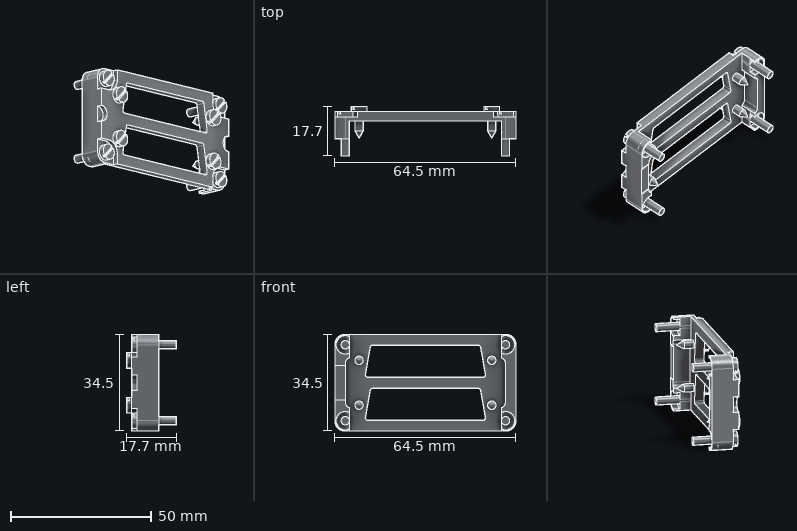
import cadquery as cq
import math

LENGTH = 64.5
HEIGHT = 34.5
CORNER_RADIUS = 3.75
FRAME_DEPTH = 9.75
PLATE_THICKNESS = 3.5

LEG_INNER_X = 27.1
RELIEF_X = 28.45
RELIEF_HALF_HEIGHT = 7.0
LEG_SHOULDER_Z = 8.85

WINDOW_BOTTOM_WIDTH = 42.95
WINDOW_HEIGHT = 11.3
WINDOW_SIDE_ANGLE = 10.0
WINDOW_CORNER_RADIUS = 0.8
WINDOW_SPACING = 15.35

CORNER_X = LENGTH / 2 - CORNER_RADIUS
CORNER_Z = HEIGHT / 2 - CORNER_RADIUS
SHANK_RADIUS = 1.5
CORNER_HEAD_RADIUS = 2.8
CORNER_SCREW_TIP = 15.9
CORNER_SLOT_DEPTH = 0.85
HEAD_POCKET_RADIUS = 4.3
POCKET_DEPTH = 2.0
FRONT_BORE_RADIUS = 3.3
FRONT_BORE_DEPTH = 2.3

PLATE_SCREW_X = 23.6
PLATE_SCREW_Z = 8.0
PLATE_HEAD_RADIUS = 2.85
PLATE_HEAD_HEIGHT = 1.8
PLATE_SHANK_END = 6.95
PLATE_SCREW_TIP = 9.55
PLATE_SLOT_DEPTH = 1.1

SLOT_WIDTH = 0.7

NOTCH_RADIUS = 2.85

LABEL_HEIGHT = 12.3
LABEL_DEPTH = 0.2


def plane_at(y):
    """XZ sketch plane at the given Y; positive extrusion runs toward -Y."""
    return cq.Workplane("XZ", origin=(0, y, 0))


def cylinders(points, radius, y_back, y_front):
    return plane_at(y_back).pushPoints(points).circle(radius).extrude(y_back - y_front)


def four_points(x, z):
    return [(side * x, end * z) for side in (-1, 1) for end in (-1, 1)]


def slot_cutter(points, head_radius, y_top, depth):
    """Diagonal screwdriver slots running from upper -X to lower +X."""
    cutter = cq.Workplane("XZ")
    for x, z in points:
        slot = (
            plane_at(y_top)
            .center(x, z)
            .transformed(rotate=(0, 0, -45))
            .rect(2 * head_radius + SLOT_WIDTH, SLOT_WIDTH)
            .extrude(depth)
        )
        cutter = cutter.add(slot)
    return cutter.combine()


def frame_block():
    return plane_at(0).rect(LENGTH, HEIGHT).extrude(FRAME_DEPTH).edges("|Y").fillet(CORNER_RADIUS)


def space_between_legs():
    depth = FRAME_DEPTH - PLATE_THICKNESS
    sketch_plane = plane_at(-PLATE_THICKNESS)
    space = sketch_plane.rect(2 * LEG_INNER_X, HEIGHT).extrude(depth)
    run = RELIEF_X - LEG_INNER_X
    rise = LEG_SHOULDER_Z - RELIEF_HALF_HEIGHT
    radius = (run**2 + rise**2) / (2 * run)
    half_turn = math.asin(rise / radius) / 2
    mid_x = RELIEF_X - radius * (1 - math.cos(half_turn))
    mid_z = RELIEF_HALF_HEIGHT + radius * math.sin(half_turn)
    relief = (
        sketch_plane.moveTo(-LEG_INNER_X, LEG_SHOULDER_Z)
        .lineTo(LEG_INNER_X, LEG_SHOULDER_Z)
        .threePointArc((mid_x, mid_z), (RELIEF_X, RELIEF_HALF_HEIGHT))
        .lineTo(RELIEF_X, -RELIEF_HALF_HEIGHT)
        .threePointArc((mid_x, -mid_z), (LEG_INNER_X, -LEG_SHOULDER_Z))
        .lineTo(-LEG_INNER_X, -LEG_SHOULDER_Z)
        .threePointArc((-mid_x, -mid_z), (-RELIEF_X, -RELIEF_HALF_HEIGHT))
        .lineTo(-RELIEF_X, RELIEF_HALF_HEIGHT)
        .threePointArc((-mid_x, mid_z), (-LEG_INNER_X, LEG_SHOULDER_Z))
        .close()
        .extrude(depth)
    )
    return space.union(relief)


def window(center_z):
    half_bottom = WINDOW_BOTTOM_WIDTH / 2
    half_top = half_bottom - WINDOW_HEIGHT * math.tan(math.radians(WINDOW_SIDE_ANGLE))
    low = center_z - WINDOW_HEIGHT / 2
    high = center_z + WINDOW_HEIGHT / 2
    return (
        plane_at(0)
        .polyline([(-half_bottom, low), (half_bottom, low), (half_top, high), (-half_top, high)])
        .close()
        .extrude(PLATE_THICKNESS)
        .edges("|Y")
        .fillet(WINDOW_CORNER_RADIUS)
    )


def head_pockets():
    """Round pockets in the back corners, opened straight out through both outer sides."""
    pockets = cylinders(corner_points, HEAD_POCKET_RADIUS, 0, -POCKET_DEPTH)
    size = 2 * HEAD_POCKET_RADIUS
    for x, z in corner_points:
        outward_x = math.copysign(HEAD_POCKET_RADIUS, x)
        outward_z = math.copysign(HEAD_POCKET_RADIUS, z)
        to_side = plane_at(0).center(x + outward_x, z).rect(size, size).extrude(POCKET_DEPTH)
        to_end = plane_at(0).center(x, z + outward_z).rect(size, size).extrude(POCKET_DEPTH)
        pockets = pockets.union(to_side).union(to_end)
    return pockets


def label_field():
    width = LENGTH / 2 - RELIEF_X
    center_x = -(LENGTH / 2 + RELIEF_X) / 2
    field_plane = plane_at(LABEL_DEPTH - FRAME_DEPTH)
    return field_plane.center(center_x, 0).rect(width, LABEL_HEIGHT).extrude(LABEL_DEPTH)


def corner_screws():
    heads = cylinders(corner_points, CORNER_HEAD_RADIUS, 0, -POCKET_DEPTH)
    heads = heads.cut(slot_cutter(corner_points, CORNER_HEAD_RADIUS, 0, CORNER_SLOT_DEPTH))
    shanks = cylinders(corner_points, SHANK_RADIUS, -POCKET_DEPTH, -CORNER_SCREW_TIP)
    return heads.union(shanks)


def plate_screws():
    points = four_points(PLATE_SCREW_X, PLATE_SCREW_Z)
    heads = cylinders(points, PLATE_HEAD_RADIUS, PLATE_HEAD_HEIGHT, 0)
    heads = heads.cut(slot_cutter(points, PLATE_HEAD_RADIUS, PLATE_HEAD_HEIGHT, PLATE_SLOT_DEPTH))
    screws = heads.union(cylinders(points, SHANK_RADIUS, 0, -PLATE_SHANK_END))
    tip_length = PLATE_SCREW_TIP - PLATE_SHANK_END
    for x, z in points:
        base = cq.Vector(x, -PLATE_SHANK_END, z)
        tip = cq.Solid.makeCone(SHANK_RADIUS, 0, tip_length, base, cq.Vector(0, -1, 0))
        screws = screws.union(cq.Workplane(tip))
    return screws


corner_points = four_points(CORNER_X, CORNER_Z)
end_centers = [(-LENGTH / 2, 0), (LENGTH / 2, 0)]

frame = frame_block().cut(space_between_legs())
for direction in (-1, 1):
    frame = frame.cut(window(direction * WINDOW_SPACING / 2))
frame = frame.cut(head_pockets())
frame = frame.cut(cylinders(end_centers, NOTCH_RADIUS, 0, -POCKET_DEPTH))
bore_floor = FRONT_BORE_DEPTH - FRAME_DEPTH
frame = frame.cut(cylinders(corner_points, FRONT_BORE_RADIUS, bore_floor, -FRAME_DEPTH))
frame = frame.cut(label_field())

result = frame.union(corner_screws()).union(plate_screws())